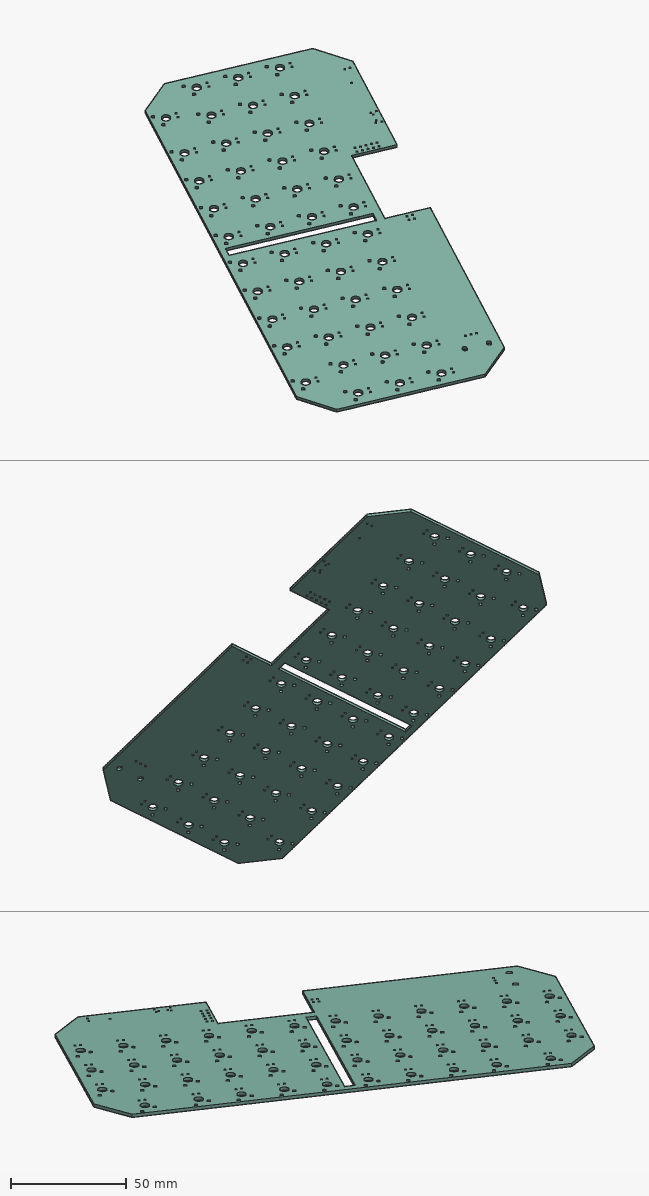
import cadquery as cq

LENGTH = 222.9
WIDTH = 95.2
THICKNESS = 1.6
CORNER_CHAMFER = 13.5

NOTCH_LEFT = -40.8
SLOT_LEFT = -2.5
SLOT_RIGHT = 2.2
NOTCH_RIGHT = SLOT_RIGHT
NOTCH_FLOOR = 26.7
SLOT_REAR = 23.0
SLOT_FRONT = -44.5

GRID = 1.27
KEY_PITCH = 15 * GRID
COLUMNS = 6
FULL_ROWS = 3
REAR_ROW_Y = 16.5
LEFT_HALF_X = -104.5
RIGHT_HALF_X = 9.1
WIDE_KEY_STEP = 1.26

STEM_DIAMETER = 4.0
SWITCH_PIN_DIAMETER = 1.5
SWITCH_PINS = [(3 * GRID, -2 * GRID), (-2 * GRID, -4 * GRID)]
LED_PIN_DIAMETER = 1.0
LED_PINS = [(-GRID, 4 * GRID), (GRID, 4 * GRID)]

HEADER_PITCH = 2 * GRID
HEADER_PIN_DIAMETER = 1.0
LEFT_HEADER = (-43.7, 34.8)
RIGHT_HEADER = (5.3, 37.5)

SLIDER_PINS = (85.1, 36.8)
SLIDER_PIN_DIAMETER = 1.0
LUG_X = 93.0
LUG_SPACING = 11.1
LUG_LENGTH = 2.7
LUG_WIDTH = 2.0

SOCKET_X = -60.6
SHELL_OFFSET = 3.5
SHELL_Y = 46.4
SHELL_DIAMETER = 0.8
OUTER_PEG_OFFSET = 3.3
OUTER_PEG_Y = 43.7
INNER_PEG_OFFSET = 2.0
INNER_PEG_Y = 44.4
PEG_DIAMETER = 0.7

LEAD_DIAMETER = 0.8
LEADS = [(-94.3, 45.0), (-94.3, 42.5), (-85.0, 42.3)]


def key_centres():
    """Centres of all keys: full rows first, then the shorter front row."""
    left = [LEFT_HALF_X + i * KEY_PITCH for i in range(COLUMNS)]
    right = [RIGHT_HALF_X + i * KEY_PITCH for i in range(COLUMNS)]
    centres = [
        (x, REAR_ROW_Y - row * KEY_PITCH)
        for row in range(FULL_ROWS)
        for x in left + right
    ]
    front_left = [left[2] - WIDE_KEY_STEP * KEY_PITCH] + left[2:]
    front_right = right[:-2] + [right[-3] + WIDE_KEY_STEP * KEY_PITCH]
    front_y = REAR_ROW_Y - FULL_ROWS * KEY_PITCH
    return centres + [(x, front_y) for x in front_left + front_right]


def grid_of_pins(centre, columns, rows):
    """Pin positions of a header, evenly spaced about its centre."""
    return [
        (
            centre[0] + (i - (columns - 1) / 2) * HEADER_PITCH,
            centre[1] + (j - (rows - 1) / 2) * HEADER_PITCH,
        )
        for i in range(columns)
        for j in range(rows)
    ]


def around(centres, offsets):
    """Every offset applied to every centre."""
    return [(x + dx, y + dy) for x, y in centres for dx, dy in offsets]


def mirrored_pair(middle, offset, y):
    """Two points at the same depth, one on either side of the middle."""
    return [(middle - offset, y), (middle + offset, y)]


def drill(plate, points, diameter):
    """Round through holes at the given points."""
    holes = cq.Workplane("XY").pushPoints(points).circle(diameter / 2).extrude(THICKNESS)
    return plate.cut(holes)


def cut_box(plate, left, right, front, rear):
    """Rectangular opening through the whole thickness."""
    opening = cq.Workplane("XY").rect(right - left, rear - front).extrude(THICKNESS)
    return plate.cut(opening.translate(((left + right) / 2, (front + rear) / 2, 0)))


result = cq.Workplane("XY").rect(LENGTH, WIDTH).extrude(THICKNESS)
result = result.edges("|Z").chamfer(CORNER_CHAMFER)
result = cut_box(result, NOTCH_LEFT, NOTCH_RIGHT, NOTCH_FLOOR, WIDTH / 2)
result = cut_box(result, SLOT_LEFT, SLOT_RIGHT, SLOT_FRONT, SLOT_REAR)

keys = key_centres()
result = drill(result, keys, STEM_DIAMETER)
result = drill(result, around(keys, SWITCH_PINS), SWITCH_PIN_DIAMETER)
result = drill(result, around(keys, LED_PINS), LED_PIN_DIAMETER)

result = drill(result, grid_of_pins(LEFT_HEADER, 2, 5), HEADER_PIN_DIAMETER)
result = drill(result, grid_of_pins(RIGHT_HEADER, 2, 2), HEADER_PIN_DIAMETER)

result = drill(result, grid_of_pins(SLIDER_PINS, 1, 3), SLIDER_PIN_DIAMETER)
lugs = [(LUG_X, SLIDER_PINS[1] + side * LUG_SPACING / 2) for side in (-1, 1)]
lug_holes = cq.Workplane("XY").pushPoints(lugs).slot2D(LUG_LENGTH, LUG_WIDTH).extrude(THICKNESS)
result = result.cut(lug_holes)

result = drill(result, mirrored_pair(SOCKET_X, SHELL_OFFSET, SHELL_Y), SHELL_DIAMETER)
result = drill(result, mirrored_pair(SOCKET_X, OUTER_PEG_OFFSET, OUTER_PEG_Y), PEG_DIAMETER)
result = drill(result, mirrored_pair(SOCKET_X, INNER_PEG_OFFSET, INNER_PEG_Y), PEG_DIAMETER)

result = drill(result, LEADS, LEAD_DIAMETER)